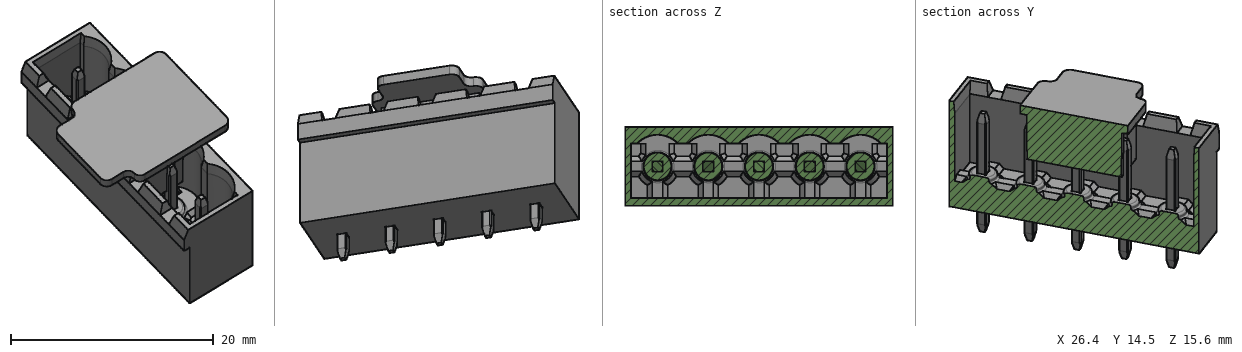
import cadquery as cq


pin_count = 5
pitch = 5.0
pin_xs = [(i - (pin_count - 1) / 2) * pitch for i in range(pin_count)]
pin_width = 1.0
pin_edge_chamfer = 0.12
pin_tip_width = 0.5
pin_tip_length = 1.0
pin_tail_length = 2.58
pin_recess = 1.2

housing_length = 26.4
housing_depth = 7.8
housing_height = 12.0
half_depth = housing_depth / 2
lip_overhang = 0.7
lip_height = 3.0
rim_drop = 1.25
lip_bevel = 0.5

floor_height = 3.0
cavity_half_length = 12.6
cavity_front = -3.1
cavity_back = 2.25
lead_in_side = 0.1
lead_in_front = 0.45
lead_in_back = 0.17
cavity_mid_y = (cavity_front + cavity_back) / 2
cavity_width = cavity_back - cavity_front

recess_center_y = 0.3
recess_radius = 2.8
recess_mouth_radius = 3.05

notch_floor_width = 1.4
notch_rim_width = 1.9

ridge_height = 0.5
ridge_flare = 0.5
ridge_half_width = 0.5
platform_half_width = 1.15
disc_radius = 1.6
boss_radius = 1.41
boss_height = 0.6
boss_top_round = 0.25
boss_foot_round = disc_radius - boss_radius

cap_thickness = 1.0
cap_width = 11.4
cap_back = 7.0
cap_shoulder = -4.5
cap_front = -7.5
tab_width = 8.4
cap_corner_radius = 0.8
cap_shoulder_radius = (cap_width - tab_width) / 4

clip_tip_length = 2 * pitch
clip_taper = 0.06
clip_root_length = clip_tip_length + 2 * clip_taper
clip_height = 5.0
clip_back = 1.5
clip_front = -3.0
clip_gap = 0.9

plateau_height = floor_height + ridge_height
rim_base = housing_height - rim_drop


def make_pin(x):
    """Square pin with chamfered long edges and a tapered tip at both ends."""
    bottom = -pin_tail_length
    top = housing_height - pin_recess
    length = top - bottom
    shank_top = top - pin_tip_length
    shank_bottom = bottom + pin_tip_length
    half_width = pin_width / 2
    half_tip = pin_tip_width / 2

    shank = cq.Workplane("XY").workplane(offset=bottom).rect(pin_width, pin_width).extrude(length)
    pin = shank.edges("|Z").chamfer(pin_edge_chamfer)
    tapered_side = [
        (-half_tip, bottom),
        (half_tip, bottom),
        (half_width, shank_bottom),
        (half_width, shank_top),
        (half_tip, top),
        (-half_tip, top),
        (-half_width, shank_top),
        (-half_width, shank_bottom),
    ]
    for plane in ("XZ", "YZ"):
        taper = cq.Workplane(plane).polyline(tapered_side).close().extrude(half_width, both=True)
        pin = pin.intersect(taper)
    return pin.translate((x, 0, 0))


def make_shell():
    """Solid block with the overhanging, bevelled lip along its front."""
    lip_front = -half_depth - lip_overhang
    side_outline = [
        (half_depth, 0),
        (half_depth, housing_height),
        (lip_front + lip_bevel, housing_height),
        (lip_front, rim_base),
        (lip_front, housing_height - lip_height),
        (-half_depth, housing_height - lip_height),
        (-half_depth, 0),
    ]
    return cq.Workplane("YZ").polyline(side_outline).close().extrude(housing_length / 2, both=True)


def make_cavity():
    """Straight-walled cavity with a flared mouth."""
    straight = (
        cq.Workplane("XY", origin=(0, cavity_mid_y, floor_height))
        .rect(2 * cavity_half_length, cavity_width)
        .extrude(housing_height - floor_height)
    )
    mouth_length = 2 * (cavity_half_length + lead_in_side)
    mouth_width = cavity_width + lead_in_front + lead_in_back
    mouth_shift_y = (lead_in_back - lead_in_front) / 2
    mouth = (
        cq.Workplane("XY", origin=(0, cavity_mid_y, rim_base))
        .rect(2 * cavity_half_length, cavity_width)
        .workplane(offset=rim_drop)
        .center(0, mouth_shift_y)
        .rect(mouth_length, mouth_width)
        .loft(ruled=True)
    )
    return straight.union(mouth)


def make_back_recess(x):
    """Part-round recess behind a pin, conical at its mouth; its floor is level with the platform."""
    round_bore = (
        cq.Workplane("XY", origin=(x, recess_center_y, plateau_height))
        .circle(recess_radius)
        .extrude(housing_height - plateau_height)
    )
    mouth = (
        cq.Workplane("XY", origin=(x, recess_center_y, rim_base))
        .circle(recess_radius)
        .workplane(offset=rim_drop)
        .circle(recess_mouth_radius)
        .loft()
    )
    behind_cavity = cq.Workplane("XY", origin=(x, cavity_back, 0)).box(
        pitch, half_depth, housing_height, centered=(True, False, False)
    )
    return round_bore.union(mouth).intersect(behind_cavity)


def make_front_notch(x):
    """Notch through the front wall, widening towards the rim."""
    outline = [
        (-notch_floor_width / 2, rim_base),
        (notch_floor_width / 2, rim_base),
        (notch_rim_width / 2, housing_height),
        (-notch_rim_width / 2, housing_height),
    ]
    notch = cq.Workplane("XZ", origin=(x, cavity_front, 0)).polyline(outline).close()
    return notch.extrude(half_depth)


def ridge_outline(workplane, half_top):
    """Cross-section of a ridge with sloping sides, standing on the cavity floor."""
    half_foot = half_top + ridge_flare
    outline = [
        (-half_foot, floor_height),
        (half_foot, floor_height),
        (half_top, plateau_height),
        (-half_top, plateau_height),
    ]
    return workplane.polyline(outline).close()


def make_long_ridge():
    """Ridge along the row of pins, from end wall to end wall."""
    return ridge_outline(cq.Workplane("YZ"), ridge_half_width).extrude(cavity_half_length, both=True)


def make_pin_seat(x):
    """Raised seat of one pin: front ridge, back platform, conical disc and rounded boss."""
    across_row = cq.Workplane("XZ", origin=(x, 0, 0))
    front_ridge = ridge_outline(across_row, ridge_half_width).extrude(-cavity_front)
    platform = ridge_outline(across_row, platform_half_width).extrude(-cavity_back)
    disc = (
        cq.Workplane("XY", origin=(x, 0, floor_height))
        .circle(disc_radius + ridge_flare)
        .workplane(offset=ridge_height)
        .circle(disc_radius)
        .loft()
    )
    boss_profile = (
        cq.Workplane("XZ")
        .lineTo(disc_radius, 0)
        .radiusArc((boss_radius, boss_foot_round), boss_foot_round)
        .lineTo(boss_radius, boss_height - boss_top_round)
        .radiusArc((boss_radius - boss_top_round, boss_height), -boss_top_round)
        .lineTo(0, boss_height)
        .close()
    )
    boss = boss_profile.revolve().translate((x, 0, plateau_height))
    return front_ridge.union(platform).union(disc).union(boss)


def make_pin_hole(x):
    """Square hole that holds one pin."""
    return cq.Workplane("XY", origin=(x, 0, 0)).rect(pin_width, pin_width).extrude(housing_height)


def make_housing():
    housing = make_shell().cut(make_cavity())
    for x in pin_xs:
        housing = housing.cut(make_back_recess(x)).cut(make_front_notch(x))
    housing = housing.union(make_long_ridge())
    for x in pin_xs:
        housing = housing.union(make_pin_seat(x))
        housing = housing.cut(make_pin_hole(x))
    return housing


def make_clip_leg(y_front, y_back):
    """One leg under the cap, lying along the row of pins and slightly shorter at its tip."""
    tip_height = housing_height - clip_height
    outline = [
        (-clip_tip_length / 2, tip_height),
        (clip_tip_length / 2, tip_height),
        (clip_root_length / 2, housing_height),
        (-clip_root_length / 2, housing_height),
    ]
    leg = cq.Workplane("XZ", origin=(0, y_back, 0)).polyline(outline).close()
    return leg.extrude(y_back - y_front)


def make_cap(pins):
    """Flat suction plate with a front tab, and two legs that grip the pins between them."""
    side = cap_width / 2
    tab_side = tab_width / 2
    half_plate = (
        cq.Workplane("XY", origin=(0, 0, housing_height))
        .moveTo(0, cap_front)
        .lineTo(tab_side - cap_corner_radius, cap_front)
        .radiusArc((tab_side, cap_front + cap_corner_radius), -cap_corner_radius)
        .lineTo(tab_side, cap_shoulder - cap_shoulder_radius)
        .radiusArc((tab_side + cap_shoulder_radius, cap_shoulder), cap_shoulder_radius)
        .radiusArc((side, cap_shoulder + cap_shoulder_radius), -cap_shoulder_radius)
        .lineTo(side, cap_back - cap_corner_radius)
        .radiusArc((side - cap_corner_radius, cap_back), -cap_corner_radius)
        .lineTo(0, cap_back)
        .close()
        .extrude(cap_thickness)
    )
    plate = half_plate.union(half_plate.mirror("YZ"))
    front_leg = make_clip_leg(clip_front, -clip_gap / 2)
    back_leg = make_clip_leg(clip_gap / 2, clip_back)
    cap = plate.union(front_leg).union(back_leg)
    for pin in pins:
        cap = cap.cut(pin)
    return cap


pins = [make_pin(x) for x in pin_xs]
housing = make_housing()
cap = make_cap(pins)

result = cq.Compound.makeCompound([housing.val(), *[pin.val() for pin in pins], cap.val()])